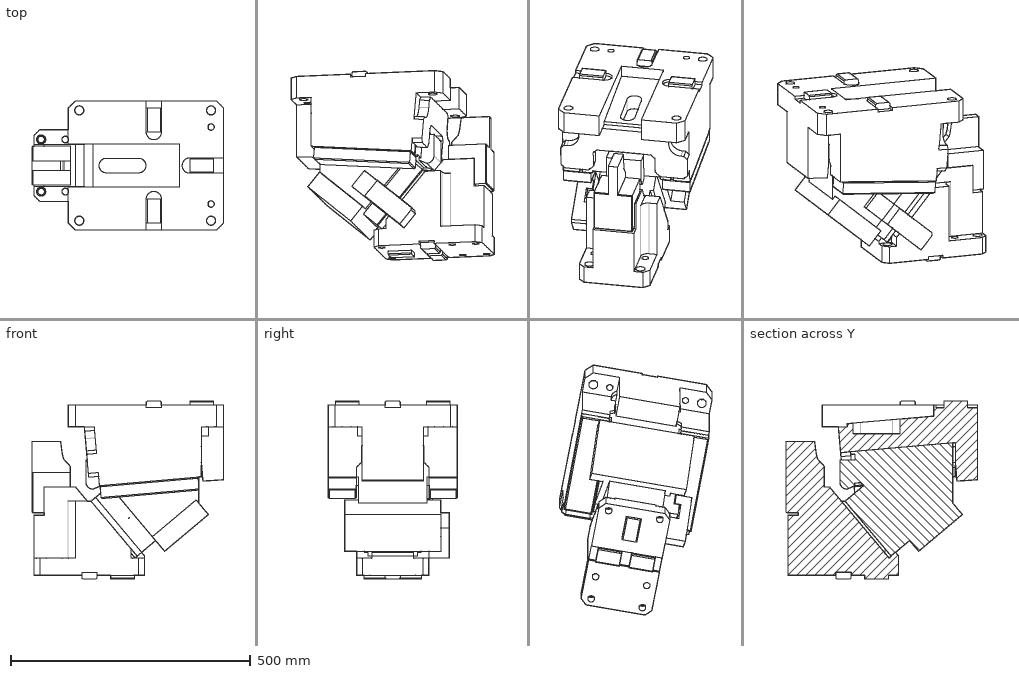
import cadquery as cq
import math

overall_length = 400
overall_width = 270.0
overall_height = 372
half_width = overall_width / 2

key_length = 50.0
key_width = 32
key_height = 14.0
key_protrusion = 8
key_chamfer = 2.5
key_seat_depth = key_height - key_protrusion

plate_top = overall_height - key_protrusion
plate_thickness = 46.0
plate_bottom = plate_top - plate_thickness
plate_left = 75.5
plate_corner = 15.0
block_right = 354.0
slide_way_tilt = 5
way_origin = (120, 193.0)
front_wall = 21.0
wall_foot = 19.5
foot_chamfer = 8
rail_inner = 76
rail_depth = 27.0
rail_length = 205.5
rail_setback = 1.0
rail_chamfer = 2.5
way_reach = 280

flange_slot_half = 100
flange_end = 226.0
core_half = 65.5
core_top = 71.0
core_corner = 8
flange_half = 94.0
web_half = 72
web_rise = 5.0
web_rise_end = 44
slide_right = 348.5
sole_half = 59.0
runner_half = 52
runner_height = 12.5
sole_length = 150.0
web_offset = 50.5
rib_half = 100.5
rib_start = 139.0
rib_width = 40
rib_top = 170.0
pad_half = 37.0
pad_back = 144
pad_top = 249.0
pad_recess_top = 260.5

slope_angle = 50
slope_origin = (123.0, 163.0)
base_left = 4
base_right = 235.0
base_half = 75.0
base_bottom = key_protrusion
base_top = 44
base_corner = 12.5
column_half = 43.5
column_top = 193.0
column_relief = 5.5
cheek_left = 90.5
cheek_right = 207.0
cheek_fillet = 15.0

hook_start = 78.0
hook_length = 42.5
hook_low = -42.0
hook_high = 55.5
hook_outer = 118.5
hook_chamfer = 5.0


def side_frame(origin, angle):
    """Frame in the XZ plane whose local x axis rises by `angle` degrees."""
    a = math.radians(angle)
    return cq.Plane(origin=(origin[0], 0, origin[1]), xDir=(math.cos(a), 0, math.sin(a)), normal=(0, -1, 0))


level = side_frame((0, 0), 0)
way = side_frame(way_origin, slide_way_tilt)
slope = side_frame(slope_origin, -slope_angle)
way_section = cq.Plane(origin=way.origin.toTuple(), xDir=(0, 1, 0), normal=way.xDir.toTuple())
hook_section = cq.Plane(origin=slope.toWorldCoords((hook_start, 0)).toTuple(),
                        xDir=(0, 1, 0), normal=slope.xDir.toTuple())


def prism(frame, points, half):
    """Symmetric prism about Y = 0 on a side outline."""
    return cq.Workplane(frame).polyline(points).close().extrude(half, both=True)


def bar(frame, x_range, y_range, half):
    """Symmetric rectangular bar given in the local axes of a side frame."""
    (x0, x1), (y0, y1) = x_range, y_range
    return prism(frame, [(x0, y0), (x1, y0), (x1, y1), (x0, y1)], half)


def box(x_range, y_range, z_range):
    (x0, x1), (y0, y1), (z0, z1) = x_range, y_range, z_range
    return cq.Workplane("XY").box(x1 - x0, y1 - y0, z1 - z0, centered=False).translate((x0, y0, z0))


def mirrored(body):
    """The body together with its mirror image in Y = 0."""
    return body.union(body.mirror("XZ"))


def plain_holes(points, diameter, z_range):
    z0, z1 = z_range
    return (cq.Workplane("XY").workplane(offset=z0).pushPoints(points)
            .circle(diameter / 2).extrude(z1 - z0))


cross_key_x = 254.5
cross_key_inner = 70.0
long_key_start = 329.5
screw_x = (99.0, 374.0)
screw_y = 115.0
screw_diameter = 18.5
dowel_y = 80.5
dowel_diameter = 13.0


def holder_plate():
    plate = box((plate_left, overall_length), (-half_width, half_width), (plate_bottom, plate_top))
    plate = plate.edges("|Z").chamfer(plate_corner)
    screws = [(x, y) for x in screw_x for y in (-screw_y, screw_y)]
    dowels = [(screw_x[1], y) for y in (-dowel_y, dowel_y)]
    plate = plate.cut(plain_holes(screws, screw_diameter, (plate_bottom, plate_top)))
    return plate.cut(plain_holes(dowels, dowel_diameter, (plate_bottom, plate_top)))


def holder_key_seats():
    """Round-ended grooves that run out through three edges of the plate."""
    seat_floor = plate_top - key_seat_depth
    radius = key_width / 2
    levels = (seat_floor, plate_top)
    cross = box((cross_key_x - radius, cross_key_x + radius), (cross_key_inner, half_width), levels)
    cross = cross.union(plain_holes([(cross_key_x, cross_key_inner)], key_width, levels))
    along = box((long_key_start, overall_length), (-radius, radius), levels)
    along = along.union(plain_holes([(long_key_start, 0)], key_width, levels))
    return mirrored(cross).union(along)


def holder_keys():
    levels = (plate_top - key_seat_depth, overall_height)
    radius = key_width / 2
    cross = box((cross_key_x - radius, cross_key_x + radius),
                (cross_key_inner, cross_key_inner + key_length), levels)
    along = box((long_key_start, long_key_start + key_length), (-radius, radius), levels)
    cross = cross.faces(">Z").edges("|Y").chamfer(key_chamfer)
    along = along.faces(">Z").edges("|X").chamfer(key_chamfer)
    return mirrored(cross).union(along)


def holder_block():
    """Block under the plate: front wall square to the way, bottom along the way."""
    tilt = math.tan(math.radians(slide_way_tilt))
    top_left = way_origin[0] - (plate_bottom - way_origin[1]) * tilt
    right_bottom = way_origin[1] + (block_right - way_origin[0]) * tilt
    block = prism(level, [(top_left, plate_bottom), way_origin,
                          (block_right, right_bottom), (block_right, plate_bottom)], half_width)
    return block.cut(bar(way, (0, front_wall), (0, wall_foot), half_width))


def front_wall_corner():
    """S-shaped corner removed from the front wall on the +Y side."""
    neck = 96
    neck_top = 116
    shelf = 75.0
    radius = 25.5
    bevel = 7.0
    top = plate_bottom - way_origin[1] + 4
    centre = (neck + radius, shelf + radius)
    diagonal = radius * math.sqrt(0.5)
    return (cq.Workplane(way_section).moveTo(neck + neck_top - top, top).lineTo(neck, neck_top)
            .lineTo(neck, centre[1])
            .threePointArc((centre[0] - diagonal, centre[1] - diagonal), (centre[0], shelf))
            .lineTo(half_width - bevel, shelf).lineTo(half_width, shelf - bevel)
            .lineTo(half_width, top).close()
            .extrude(front_wall))


def foot_chamfer_cut():
    """Chamfer on the lower outer corner of the front wall on the +Y side."""
    return (cq.Workplane(way_section)
            .polyline([(half_width - foot_chamfer, wall_foot), (half_width, wall_foot),
                       (half_width, wall_foot + foot_chamfer)]).close().extrude(front_wall))


def arch():
    """Arch-shaped core with a flared foot, running along the slide way."""
    flare = rail_inner - core_half
    half_outline = [(rail_inner, 0), (rail_inner, wall_foot), (core_half, wall_foot + flare),
                    (core_half, core_top - core_corner), (core_half - core_corner, core_top)]
    other_half = [(-y, height) for y, height in reversed(half_outline)]
    return cq.Workplane(way_section).polyline(half_outline + other_half).close().extrude(way_reach)


def core_channel():
    flange_slot = bar(way, (0, flange_end), (0, wall_foot), flange_slot_half)
    inside_block = box((0, block_right), (-half_width, half_width), (0, plate_bottom))
    return arch().union(flange_slot).intersect(inside_block)


def holder_rail():
    """Rail on the +Y side that carries the slide flange, chamfered around its top and bottom."""
    rail_frame = cq.Plane(origin=way.origin.toTuple(), xDir=way.xDir.toTuple(), normal=way.yDir.toTuple())
    start = front_wall + rail_setback
    rail = box((start, start + rail_length), (rail_inner, half_width), (-rail_depth, 0))
    rail = rail.faces("<Z or >Z").edges().chamfer(rail_chamfer)
    return cq.Workplane(rail.val().moved(cq.Location(rail_frame)))


def holder_heel():
    half = 64
    lug_half = 73.5
    lug_round = 15.5
    lug_length = 16
    lug_height = 19.0
    relief_top = 238.5
    foot_left = 357.0
    foot_low = 204.5
    foot_high = 207.0
    heel = prism(level, [(block_right, plate_bottom), (block_right, relief_top), (foot_left, foot_low),
                         (overall_length, foot_high), (overall_length, plate_bottom)], half)
    lug = bar(level, (block_right, block_right + lug_length),
              (plate_bottom - lug_height, plate_bottom), lug_half)
    lug = lug.faces(">X").edges("|Z").fillet(lug_round)
    return heel.union(lug)


def holder_pocket():
    """Open pocket in the plate with a floor parallel to the slide way and a slot in it."""
    half = 45.0
    floor_start = 127.5
    floor_end = 308.5
    floor_low = 325.0
    slot_start = 140
    slot_end = 238.0
    slot_width = 30.5
    slot_bottom = 304
    floor_high = floor_low + (floor_end - floor_start) * math.tan(math.radians(slide_way_tilt))
    pocket = prism(level, [(plate_left, plate_bottom), (floor_start, plate_bottom),
                           (floor_start, floor_low), (floor_end, floor_high),
                           (floor_end, plate_top), (plate_left, plate_top)], half)
    slot = (cq.Workplane("XY").workplane(offset=slot_bottom).center((slot_start + slot_end) / 2, 0)
            .slot2D(slot_end - slot_start, slot_width).extrude(plate_top - slot_bottom))
    return pocket.union(slot)


def make_holder():
    block = holder_block()
    block = block.cut(mirrored(front_wall_corner())).cut(mirrored(foot_chamfer_cut()))
    block = block.cut(core_channel())
    holder = holder_plate().union(block).union(holder_heel()).union(mirrored(holder_rail()))
    return holder.cut(holder_pocket()).cut(holder_key_seats()).union(holder_keys())


def slide_core():
    """Core in the arch and the flange above the rails."""
    behind_wall = bar(way, (front_wall, way_reach), (0, core_top), rail_inner)
    flange = bar(way, (front_wall, flange_end), (0, wall_foot), flange_half)
    recess = bar(level, (0, pad_back), (pad_top, pad_recess_top), pad_half)
    web_seat = bar(way, (front_wall, web_rise_end), (0, web_rise), web_half)
    return arch().intersect(behind_wall).union(flange).cut(recess).cut(web_seat)


def slide_web():
    """Web below the way, its sole on the drive slope and the cross rib at its low end."""
    rib_end = rib_start + rib_width
    web = bar(slope, (-way_reach, rib_end), (web_offset, way_reach), web_half)
    sole = bar(slope, (0, sole_length), (runner_height, rib_top), sole_half)
    runner = bar(slope, (0, sole_length), (0, rib_top), runner_half)
    rib = bar(slope, (rib_start, rib_end), (web_offset, rib_top), rib_half)
    below_core = bar(way, (0, way_reach), (-way_reach, web_rise), half_width)
    inside_holder = box((0, slide_right), (-half_width, half_width), (0, plate_bottom))
    return web.union(sole).union(runner).intersect(below_core).intersect(inside_holder).union(rib)


def slide_pad():
    """Rounded nose in front of the core."""
    front = 112.5
    radius = 15.0
    centre = (front + radius, 203.0)
    diagonal = radius * math.sqrt(0.5)
    return (cq.Workplane(level).moveTo(pad_back, pad_top).lineTo(front, pad_top).lineTo(front, centre[1])
            .threePointArc((centre[0] - diagonal, centre[1] - diagonal), (centre[0], centre[1] - radius))
            .lineTo(pad_back, centre[1] - 8).close().extrude(pad_half, both=True))


def slide_lip():
    """L-shaped lip on the +Y side of the sole, held by the return hook."""
    low = 13.5
    lip_high = 35.5
    high = 101.0
    neck_outer = 83.0
    lip_outer = 95.0
    return (cq.Workplane(hook_section)
            .polyline([(sole_half - 4, low), (lip_outer, low), (lip_outer, lip_high),
                       (neck_outer, lip_high), (neck_outer, high), (sole_half - 4, high)])
            .close().extrude(hook_length))


def make_slide():
    core = slide_core().intersect(box((0, slide_right), (-half_width, half_width), (0, plate_bottom)))
    return core.union(slide_web()).union(slide_pad()).union(slide_lip())


base_key_x = 120
base_key_inner = 10.5
base_long_key_start = 164.5


def base_plate():
    plate = box((base_left, base_right), (-base_half, base_half), (base_bottom, base_top))
    plate = plate.edges("|Z").chamfer(base_corner)
    seat = box((base_key_x - key_width / 2, base_key_x + key_width / 2), (-base_half, base_half),
               (base_bottom, base_bottom + key_seat_depth))
    return plate.cut(seat)


def base_keys():
    radius = key_width / 2
    cross = box((base_key_x - radius, base_key_x + radius),
                (base_key_inner, base_key_inner + key_length), (0, key_height))
    along = box((base_long_key_start, base_long_key_start + key_length), (-radius, radius), (0, key_height))
    cross = cross.faces("<Z").edges("|Y").chamfer(key_chamfer)
    along = along.faces("<Z").edges("|X").chamfer(key_chamfer)
    return mirrored(cross).union(along)


def base_column():
    """Narrow column with a step for the stop block; its end lies just below the drive slope."""
    step_x = 25.0
    step_z = 133.5
    cut_above = bar(slope, (-way_reach, way_reach), (-column_relief, way_reach), half_width)
    column = prism(level, [(base_left, base_top), (base_left, step_z), (step_x, step_z),
                           (step_x, column_top), (base_right, column_top),
                           (base_right, base_top)], column_half)
    return column.cut(cut_above)


def base_cheeks():
    """Wide sides that carry the drive slope, with a concave fillet to the column."""
    top = slope_origin[1]
    cheeks = bar(level, (cheek_left, cheek_right), (base_top, top), base_half)
    fillet_corner = box((cheek_left - cheek_fillet, cheek_left),
                        (column_half, column_half + cheek_fillet), (base_top, top))
    fillet_round = plain_holes([(cheek_left - cheek_fillet, column_half + cheek_fillet)],
                               2 * cheek_fillet, (base_top, top))
    cheeks = cheeks.union(mirrored(fillet_corner.cut(fillet_round)))
    cheeks = cheeks.cut(bar(slope, (-way_reach, way_reach), (0, way_reach), half_width))
    relief = bar(slope, (-way_reach, way_reach), (-column_relief, 0), column_half)
    return cheeks.cut(relief)


def base_end_stop():
    """Wedge at the low end of the slope, against the end of the sole."""
    wedge = bar(slope, (sole_length, way_reach), (-way_reach, runner_height), column_half)
    return wedge.intersect(box((base_left, base_right), (-base_half, base_half), (base_top, column_top)))


def stop_block():
    """Stop block that hooks over the back of the column, with a fin on top."""
    half = 41.0
    fin_half = 10.0
    edge = 1.5
    leg_thickness = 25.0
    leg_bottom = 138.5
    length = 80.5
    shoulder = 223.0
    fin_top = 287.5
    block = prism(level, [(0, leg_bottom), (leg_thickness, leg_bottom), (leg_thickness, column_top),
                          (length, column_top), (length, shoulder), (0, shoulder)], half)
    block = block.faces("<X").edges().chamfer(edge)
    fin = prism(level, [(0, column_top), (length, column_top), (length, 235.5), (66.5, 250.5),
                        (63.5, 261.0), (60, fin_top), (0, fin_top)], fin_half)
    return block.union(fin)


def return_hook():
    """L-shaped hook on the +Y side, extruded down the slope around the slide lip."""
    notch_low = 5.0
    notch_high = 36.5
    notch_outer = 97.5
    claw_inner = 85.0
    hook = (cq.Workplane(hook_section)
            .polyline([(base_half, hook_low), (hook_outer, hook_low), (hook_outer, hook_high),
                       (claw_inner, hook_high), (claw_inner, notch_high), (notch_outer, notch_high),
                       (notch_outer, notch_low), (base_half, notch_low)])
            .close().extrude(hook_length))
    low_edge = hook_section.toWorldCoords(((base_half + hook_outer) / 2, hook_low))
    return hook.edges(cq.selectors.NearestToPointSelector(low_edge.toTuple())).chamfer(hook_chamfer)


def base_holes():
    """Counterbored screws at the four corners and two dowels behind the cheeks."""
    hole_y = 54.5
    hole_diameter = 13.5
    bore_diameter = 19.0
    bore_depth = 10.0
    end_distance = 15.0
    screw_places = [(x, y) for x in (base_left + end_distance, base_right - end_distance)
                    for y in (-hole_y, hole_y)]
    dowel_x = 69.5
    dowel_places = [(dowel_x, y) for y in (-hole_y, hole_y)]
    bores = plain_holes(screw_places, bore_diameter, (base_top - bore_depth, base_top))
    return plain_holes(screw_places + dowel_places, hole_diameter, (0, base_top)).union(bores)


def make_base():
    base = base_plate().cut(base_holes())
    base = base.union(base_column()).union(base_cheeks()).union(base_end_stop())
    return base.union(return_hook()).union(stop_block()).union(base_keys())


holder = make_holder()
slide = make_slide()
base = make_base()
result = cq.Compound.makeCompound([holder.val(), slide.val(), base.val()])